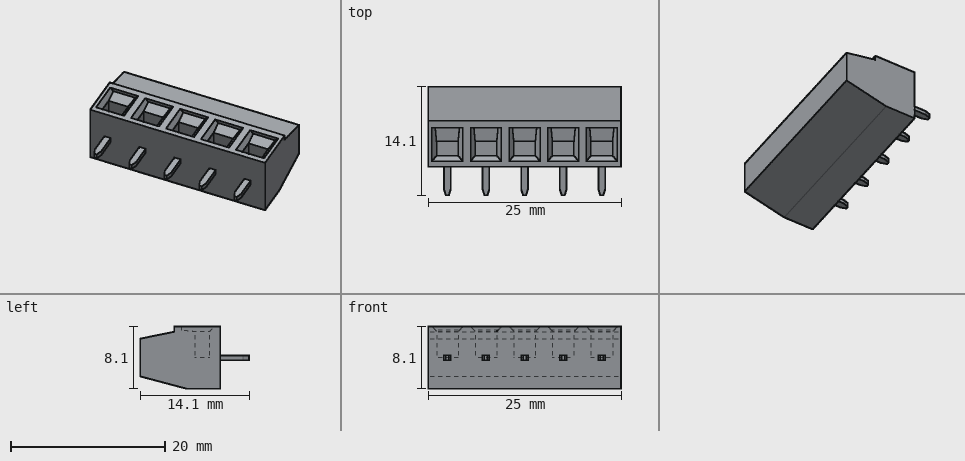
import cadquery as cq

way_count = 5
pitch = 5.0

body_length = way_count * pitch
body_depth = 10.4
body_height = 8.1
top_flat_depth = 6.0
top_step = 0.7
bottom_flat_depth = 4.4
back_top_drop = 1.6
back_bottom_rise = 1.6

mouth_width = 4.0
mouth_front = 0.75
mouth_back = 5.1
throat_width = 2.8
throat_front = 1.45
throat_back = 3.3
funnel_depth = 0.65
ledge_back_depth = 0.47
entry_depth = 4.0

pin_width = 0.9
pin_thickness = 0.65
pin_length = 3.7
pin_taper_length = 0.8
pin_tip_width = 0.4
pin_height = 4.0

way_centres = [(way - (way_count - 1) / 2) * pitch for way in range(way_count)]


def make_housing():
    """Side profile swept along the whole row of ways."""
    profile = [
        (0, 0),
        (0, body_height),
        (top_flat_depth, body_height),
        (top_flat_depth, body_height - top_step),
        (body_depth, body_height - back_top_drop),
        (body_depth, back_bottom_rise),
        (bottom_flat_depth, 0),
    ]
    return cq.Workplane("YZ").polyline(profile).close().extrude(body_length / 2, both=True)


def make_funnel():
    """Wire mouth tapering on three sides, with an upright back wall."""
    throat_shift = (throat_front - mouth_front) / 2
    return (
        cq.Workplane("XY", origin=(0, (mouth_front + mouth_back) / 2, body_height))
        .rect(mouth_width, mouth_back - mouth_front)
        .workplane(offset=-funnel_depth)
        .center(0, throat_shift)
        .rect(throat_width, mouth_back - throat_front)
        .loft(ruled=True)
    )


def make_ledge():
    """Wedge left standing at the back of the funnel, sloping down to the throat."""
    ledge_profile = [
        (throat_back, body_height - funnel_depth),
        (mouth_back, body_height - ledge_back_depth),
        (mouth_back, body_height - funnel_depth),
    ]
    return cq.Workplane("YZ").polyline(ledge_profile).close().extrude(mouth_width / 2, both=True)


def make_wire_entry():
    """Cutter for one wire entry: funnel above a straight rectangular throat."""
    throat = (
        cq.Workplane("XY", origin=(0, (throat_front + throat_back) / 2, body_height - entry_depth))
        .rect(throat_width, throat_back - throat_front)
        .extrude(entry_depth - funnel_depth)
    )
    return make_funnel().cut(make_ledge()).union(throat)


def make_pin():
    """Flat solder pin with its sides tapered to a blunt tip."""
    taper_start = pin_length - pin_taper_length
    outline = [
        (-pin_width / 2, 0),
        (-pin_width / 2, -taper_start),
        (-pin_tip_width / 2, -pin_length),
        (pin_tip_width / 2, -pin_length),
        (pin_width / 2, -taper_start),
        (pin_width / 2, 0),
    ]
    return (
        cq.Workplane("XY", origin=(0, 0, pin_height))
        .polyline(outline)
        .close()
        .extrude(pin_thickness / 2, both=True)
    )


wire_entry = make_wire_entry()
pin = make_pin()

result = make_housing()
for centre in way_centres:
    result = result.cut(wire_entry.translate((centre, 0, 0)))
    result = result.union(pin.translate((centre, 0, 0)))